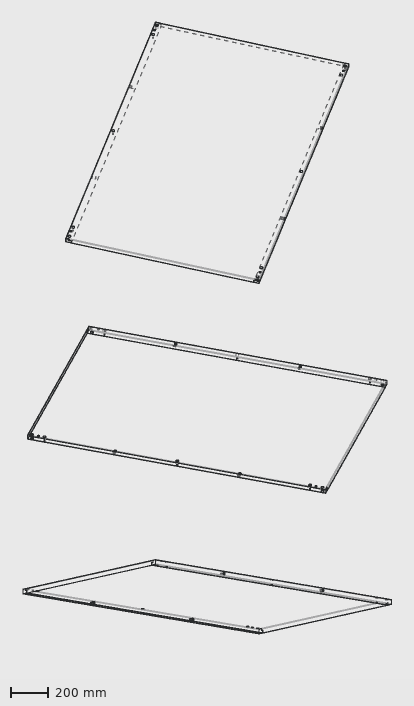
import cadquery as cq

length = 1688.0
width = 1089.0
height = 27.0
sheet = 1.5
bend_radius = 3.0
return_width = 32.0
side_setback = 0.8

shoulder_inset = 22.0
shoulder_height = 12.0
flange_inset = 32.0

hole_diameter = 15.0
hole_inset = 15.0
corner_hole_offset = 822.0
inner_hole_offset = 751.0
return_hole_diameter = 7.0
small_hole_diameter = 10.0
small_hole_inset = 14.0
small_hole_offset = 785.0

insert_offset = 353.0
insert_diameter = 14.0
insert_bore_diameter = 7.0
insert_length = 22.0

half_width = width / 2
half_length = length / 2
half_height = height / 2
inner_radius = bend_radius - sheet
bend_start = half_length - bend_radius
bend_bottom = half_height - bend_radius
shoulder_bottom = half_height - shoulder_height
shoulder_width = width - 2 * shoulder_inset
both_ways = (-1, 1)
corner_offsets = (-corner_hole_offset, corner_hole_offset)
small_offsets = (-small_hole_offset, small_hole_offset)
inner_offsets = (-inner_hole_offset, 0, inner_hole_offset)
insert_offsets = (-insert_offset, insert_offset)


def folded_sides():
    """Top sheet with both long sides folded down and returned underneath."""
    side_length = length - 2 * side_setback
    outside = cq.Workplane("XY").box(width, side_length, height).edges("|Y").fillet(bend_radius)
    inside = (
        cq.Workplane("XY")
        .box(width - 2 * sheet, side_length, height - 2 * sheet)
        .edges("|Y")
        .fillet(inner_radius)
    )
    opening = (
        cq.Workplane("XY")
        .workplane(offset=-half_height)
        .rect(width - 2 * return_width, length)
        .extrude(half_height)
    )
    body = outside.cut(inside).cut(opening)

    for end in both_ways:
        body = body.cut(
            cq.Workplane("XY")
            .center(0, end * half_length)
            .rect(shoulder_width, 2 * bend_radius)
            .extrude(height)
        )
    return body


def end_flange():
    """Flange folded down across the +Y end, wider at its bend than below it."""
    inner_face = half_length - sheet
    flange = (
        cq.Workplane("YZ")
        .moveTo(bend_start, half_height)
        .radiusArc((half_length, bend_bottom), bend_radius)
        .lineTo(half_length, -half_height)
        .lineTo(inner_face, -half_height)
        .lineTo(inner_face, bend_bottom)
        .radiusArc((bend_start, half_height - sheet), -inner_radius)
        .close()
        .extrude(shoulder_width / 2, both=True)
    )
    step_width = flange_inset - shoulder_inset
    step_x = half_width - (flange_inset + shoulder_inset) / 2
    steps = (
        cq.Workplane("XY")
        .workplane(offset=shoulder_bottom)
        .pushPoints([(side * step_x, half_length) for side in both_ways])
        .rect(step_width, 2 * bend_radius)
        .extrude(-height)
    )
    return flange.cut(steps)


def hole_cutters(inset, offsets, diameter, depth):
    """Upright cylinders along both long sides, from mid-height up, or down if depth is negative."""
    places = [(side * (half_width - inset), offset) for side in both_ways for offset in offsets]
    return cq.Workplane("XY").pushPoints(places).circle(diameter / 2).extrude(depth)


def insert_hole_cutters():
    """Cylinders across the full width that open both side walls for the inserts."""
    places = [(offset, 0) for offset in insert_offsets]
    return (
        cq.Workplane("YZ")
        .pushPoints(places)
        .circle(insert_diameter / 2)
        .extrude(half_width, both=True)
    )


def make_tray():
    flange = end_flange()
    body = folded_sides().union(flange).union(flange.mirror("XZ"))

    body = body.cut(hole_cutters(hole_inset, corner_offsets + inner_offsets, hole_diameter, height))
    body = body.cut(hole_cutters(small_hole_inset, small_offsets, small_hole_diameter, height))

    body = body.cut(hole_cutters(hole_inset, corner_offsets, hole_diameter, -height))
    body = body.cut(hole_cutters(hole_inset, inner_offsets, return_hole_diameter, -height))

    return body.cut(insert_hole_cutters())


def make_insert(side, offset):
    """Bored round insert, flush with the outer side wall and reaching inward."""
    return (
        cq.Workplane("YZ", origin=(side * half_width, offset, 0))
        .circle(insert_diameter / 2)
        .circle(insert_bore_diameter / 2)
        .extrude(-side * insert_length)
    )


tray = make_tray()
inserts = [make_insert(side, offset) for side in both_ways for offset in insert_offsets]

result = cq.Compound.makeCompound([tray.val(), *[insert.val() for insert in inserts]])